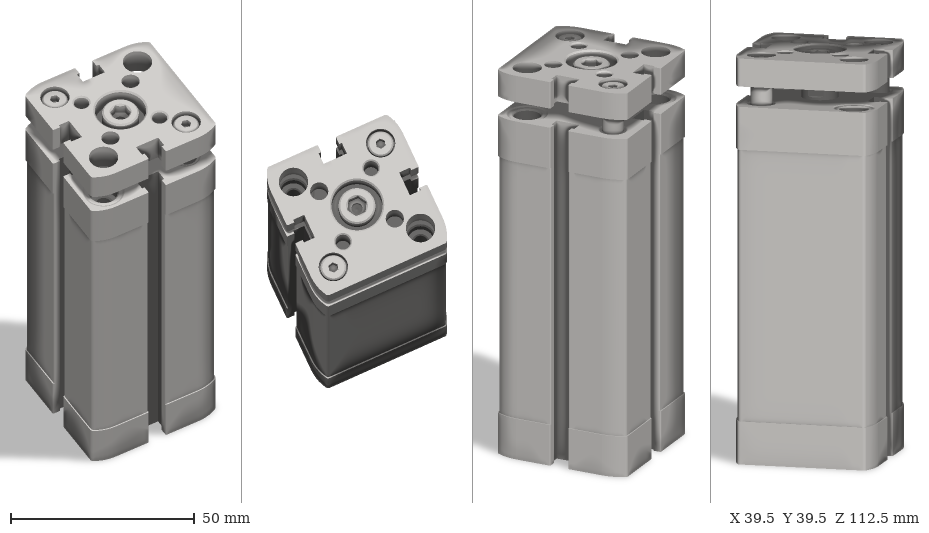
import cadquery as cq
import math

TOTAL_HEIGHT = 112.5
PLATE_THICKNESS = 7.8
GAP = 5.6
CAP_HEIGHT = 11.9
PLATE_BOTTOM = TOTAL_HEIGHT - PLATE_THICKNESS
HOUSING_TOP = PLATE_BOTTOM - GAP
ROD_BOTTOM = HOUSING_TOP - CAP_HEIGHT

WIDTH = 39.5
FLAT_HALF_LENGTH = 13.0
CORNER_DIAMETER = 25.0
EDGE_FILLET = 1.0
TUBE_INSET = 0.3

SLOT_OPENING = 5.4
SLOT_MOUTH_FILLET = 0.3
SLOT_INNER_WIDTH = 7.0
SLOT_LIP = 2.2
SLOT_DEPTH = 5.5
SLOT_ANGLES = (0, 90, 180)

CORNER_OFFSET = 13.0
ROD_CORNERS = [(-CORNER_OFFSET, -CORNER_OFFSET), (CORNER_OFFSET, CORNER_OFFSET)]
OPEN_CORNERS = [(-CORNER_OFFSET, CORNER_OFFSET), (CORNER_OFFSET, -CORNER_OFFSET)]
GUIDE_ROD_DIAMETER = 6.0
ACCESS_HOLE_DIAMETER = 8.0
SCREW_HEAD_DIAMETER = 7.0
SCREW_HEAD_CHAMFER = 0.5
SCREW_HEAD_DROP = 0.7
SCREW_POCKET_DEPTH = 3.0
SCREW_SOCKET_FLATS = 2.5
SCREW_SOCKET_DEPTH = 2.2
SCREW_SOCKET_ANGLE = -45

PLATE_HOLE_OFFSET = 7.8
TAPPED_CORNERS = [(-PLATE_HOLE_OFFSET, -PLATE_HOLE_OFFSET), (PLATE_HOLE_OFFSET, PLATE_HOLE_OFFSET)]
DOWEL_CORNERS = [(-PLATE_HOLE_OFFSET, PLATE_HOLE_OFFSET), (PLATE_HOLE_OFFSET, -PLATE_HOLE_OFFSET)]
DOWEL_HOLE_DIAMETER = 5.0
TAPPED_HOLE_DIAMETER = 4.2
TAPPED_HOLE_MOUTH_DIAMETER = 5.0

PISTON_ROD_DIAMETER = 10.0
PISTON_ROD_CHAMFER = 0.5
PLATE_BORE_DIAMETER = 14.0
PLATE_BORE_CHAMFER = 0.5
PLATE_BORE_DEPTH = 5.0
PISTON_ROD_DROP = 0.8
WRENCH_FLATS = 9.0
WRENCH_FLAT_START = 1.0
WRENCH_FLAT_RAMP = 0.3
ROD_SOCKET_FLATS = 5.0
ROD_SOCKET_MOUTH_DIAMETER = 6.0
ROD_SOCKET_DEPTH = 3.0
ROD_PILOT_DIAMETER = 3.0
ROD_PILOT_DEPTH = 1.0
DRILL_SLOPE_ANGLE = 30

ROD_SEAT_DIAMETER = 8.0
ROD_SEAT_INNER_DIAMETER = 7.0
SCREW_SEAT_DIAMETER = 11.5
SCREW_SEAT_INNER_DIAMETER = 10.5
SEAT_DEPTH = 0.28
SCREW_BORE_DIAMETER = 7.5
SCREW_BORE_DEPTH = 4.5
SCREW_BORE_MOUTH_DIAMETER = 9.0
SCREW_HOLE_DIAMETER = 4.2
SCREW_HOLE_MOUTH_DIAMETER = 5.0


def cylinder(x, y, z_bottom, height, diameter):
    """Upright cylinder standing on z_bottom."""
    return cq.Workplane("XY", origin=(x, y, z_bottom)).circle(diameter / 2).extrude(height)


def cone(x, y, z_bottom, height, bottom_diameter, top_diameter):
    """Upright cone frustum standing on z_bottom."""
    solid = cq.Solid.makeCone(bottom_diameter / 2, top_diameter / 2, height, cq.Vector(x, y, z_bottom))
    return cq.Workplane(solid)


def hexagon(x, y, z_top, depth, across_flats, angle=0):
    """Hexagonal socket cutter; one corner points along the given angle."""
    corner_diameter = across_flats / math.cos(math.radians(30))
    prism = cq.Workplane("XY").polygon(6, corner_diameter).extrude(depth)
    return prism.rotate((0, 0, 0), (0, 0, 1), angle).translate((x, y, z_top - depth))


def t_slot(angle, z_bottom, height, face):
    """T-slot cutter with a rounded mouth; the angle turns clockwise from +X, face is the side's distance."""
    half = WIDTH / 2
    opening = SLOT_OPENING / 2
    inner = SLOT_INNER_WIDTH / 2
    mouth = opening + SLOT_MOUTH_FILLET
    fillet_middle = SLOT_MOUTH_FILLET * (1 - math.sqrt(0.5))
    cutter = (
        cq.Workplane("XY", origin=(0, 0, z_bottom))
        .moveTo(half - SLOT_DEPTH, -inner)
        .lineTo(half - SLOT_LIP, -inner)
        .lineTo(half - SLOT_LIP, -opening)
        .lineTo(face - SLOT_MOUTH_FILLET, -opening)
        .threePointArc((face - fillet_middle, -opening - fillet_middle), (face, -mouth))
        .lineTo(face, mouth)
        .threePointArc((face - fillet_middle, opening + fillet_middle), (face - SLOT_MOUTH_FILLET, opening))
        .lineTo(half - SLOT_LIP, opening)
        .lineTo(half - SLOT_LIP, inner)
        .lineTo(half - SLOT_DEPTH, inner)
        .close()
        .extrude(height)
    )
    return cutter.rotate((0, 0, 0), (0, 0, 1), -angle)


def section(z_bottom, height, inset=0.0):
    """Slotted block with bulged corners; its outer faces are moved in by the inset."""
    half = WIDTH / 2 - inset
    radius = CORNER_DIAMETER / 2 - inset
    rise = half - FLAT_HALF_LENGTH
    corner_x = half - radius + math.sqrt(radius**2 - rise**2)
    mid_x = half - radius + math.sqrt(radius**2 - (rise / 2) ** 2)
    mid_y = FLAT_HALF_LENGTH + rise / 2
    block = (
        cq.Workplane("XY", origin=(0, 0, z_bottom))
        .moveTo(half, -FLAT_HALF_LENGTH)
        .lineTo(half, FLAT_HALF_LENGTH)
        .threePointArc((mid_x, mid_y), (corner_x, half))
        .lineTo(-corner_x, half)
        .threePointArc((-mid_x, mid_y), (-half, FLAT_HALF_LENGTH))
        .lineTo(-half, -FLAT_HALF_LENGTH)
        .threePointArc((-mid_x, -mid_y), (-corner_x, -half))
        .lineTo(corner_x, -half)
        .threePointArc((mid_x, -mid_y), (half, -FLAT_HALF_LENGTH))
        .close()
        .extrude(height)
    )
    block = block.edges("|Z").edges("<Y or >Y").fillet(EDGE_FILLET)
    for angle in SLOT_ANGLES:
        block = block.cut(t_slot(angle, z_bottom, height, half))
    return block


def chamfered_bore(x, y, z_top, depth, diameter, mouth_diameter):
    """Cutter for a bore going down from z_top, with a 45 degree chamfer at its mouth."""
    chamfer = (mouth_diameter - diameter) / 2
    bore = cylinder(x, y, z_top - depth, depth, diameter)
    return bore.union(cone(x, y, z_top - chamfer, chamfer, diameter, mouth_diameter))


def housing_blank():
    """Slotted tube between two slightly larger end caps."""
    tube_top = HOUSING_TOP - CAP_HEIGHT
    blank = section(0, CAP_HEIGHT)
    blank = blank.union(section(CAP_HEIGHT, tube_top - CAP_HEIGHT, TUBE_INSET))
    return blank.union(section(tube_top, CAP_HEIGHT))


def guide_rod_bore(x, y):
    """Cutter for a guide rod, with a shallow conical seat at the top of the housing."""
    bore = cylinder(x, y, ROD_BOTTOM, HOUSING_TOP - ROD_BOTTOM, GUIDE_ROD_DIAMETER)
    seat = cone(x, y, HOUSING_TOP - SEAT_DEPTH, SEAT_DEPTH, ROD_SEAT_INNER_DIAMETER, ROD_SEAT_DIAMETER)
    return bore.union(seat)


def tie_screw_bore(x, y):
    """Cutter for a through hole with a counterbore and a shallow conical seat."""
    floor = HOUSING_TOP - SCREW_BORE_DEPTH
    hole = chamfered_bore(x, y, floor, floor, SCREW_HOLE_DIAMETER, SCREW_HOLE_MOUTH_DIAMETER)
    counterbore = chamfered_bore(
        x, y, HOUSING_TOP, SCREW_BORE_DEPTH, SCREW_BORE_DIAMETER, SCREW_BORE_MOUTH_DIAMETER
    )
    seat = cone(
        x, y, HOUSING_TOP - SEAT_DEPTH, SEAT_DEPTH, SCREW_SEAT_INNER_DIAMETER, SCREW_SEAT_DIAMETER
    )
    return hole.union(counterbore).union(seat)


def make_housing():
    """Tube and end caps, bored for the rods and the tie screws."""
    body = housing_blank()
    body = body.cut(cylinder(0, 0, ROD_BOTTOM, HOUSING_TOP - ROD_BOTTOM, PISTON_ROD_DIAMETER))
    for x, y in ROD_CORNERS:
        body = body.cut(guide_rod_bore(x, y))
    for x, y in OPEN_CORNERS:
        body = body.cut(tie_screw_bore(x, y))
    return body


def drill_point(z_top):
    """Cutter on the Z axis: a cone down to the pilot hole, which ends in a conical tip."""
    slope = math.tan(math.radians(DRILL_SLOPE_ANGLE))
    outer = ROD_SOCKET_FLATS / 2
    pilot = ROD_PILOT_DIAMETER / 2
    pilot_top = z_top - (outer - pilot) * slope
    pilot_bottom = pilot_top - ROD_PILOT_DEPTH
    return (
        cq.Workplane("XZ")
        .moveTo(0, z_top)
        .lineTo(outer, z_top)
        .lineTo(pilot, pilot_top)
        .lineTo(pilot, pilot_bottom)
        .lineTo(0, pilot_bottom - pilot * slope)
        .close()
        .revolve(360, (0, 0, 0), (0, 1, 0))
    )


def wrench_flat(angle):
    """Cutter for the flat on the +Y side of the piston rod, turned about Z by the angle."""
    flat_bottom = HOUSING_TOP + WRENCH_FLAT_START
    flat = WRENCH_FLATS / 2
    rim = PISTON_ROD_DIAMETER / 2
    cutter = (
        cq.Workplane("YZ")
        .moveTo(flat, PLATE_BOTTOM)
        .lineTo(flat, flat_bottom)
        .lineTo(rim, flat_bottom - WRENCH_FLAT_RAMP)
        .lineTo(rim, PLATE_BOTTOM)
        .close()
        .extrude(rim, both=True)
    )
    return cutter.rotate((0, 0, 0), (0, 0, 1), angle)


def make_piston_rod():
    """Chamfered rod with two wrench flats and a hexagonal socket over a pilot hole."""
    top = TOTAL_HEIGHT - PISTON_ROD_DROP
    rod = cylinder(0, 0, ROD_BOTTOM, top - ROD_BOTTOM, PISTON_ROD_DIAMETER)
    rod = rod.faces(">Z").chamfer(PISTON_ROD_CHAMFER)
    for angle in (0, 180):
        rod = rod.cut(wrench_flat(angle))
    rod = rod.cut(hexagon(0, 0, top, ROD_SOCKET_DEPTH, ROD_SOCKET_FLATS))
    mouth_depth = (ROD_SOCKET_MOUTH_DIAMETER - ROD_SOCKET_FLATS) / 2
    rod = rod.cut(cone(0, 0, top - mouth_depth, mouth_depth, ROD_SOCKET_FLATS, ROD_SOCKET_MOUTH_DIAMETER))
    return rod.cut(drill_point(top - ROD_SOCKET_DEPTH))


def make_plate():
    """Slotted plate with its central bore, corner holes, dowel holes and tapped holes."""
    plate = section(PLATE_BOTTOM, PLATE_THICKNESS)
    bore_mouth = PLATE_BORE_DIAMETER + 2 * PLATE_BORE_CHAMFER
    plate = plate.cut(
        chamfered_bore(0, 0, TOTAL_HEIGHT, PLATE_BORE_DEPTH, PLATE_BORE_DIAMETER, bore_mouth)
    )
    plate = plate.cut(cylinder(0, 0, PLATE_BOTTOM, PLATE_THICKNESS, PISTON_ROD_DIAMETER))
    for x, y in OPEN_CORNERS:
        plate = plate.cut(cylinder(x, y, PLATE_BOTTOM, PLATE_THICKNESS, ACCESS_HOLE_DIAMETER))
    for x, y in DOWEL_CORNERS:
        plate = plate.cut(cylinder(x, y, PLATE_BOTTOM, PLATE_THICKNESS, DOWEL_HOLE_DIAMETER))
    for x, y in TAPPED_CORNERS:
        plate = plate.cut(
            chamfered_bore(
                x, y, TOTAL_HEIGHT, PLATE_THICKNESS, TAPPED_HOLE_DIAMETER, TAPPED_HOLE_MOUTH_DIAMETER
            )
        )
    for x, y in ROD_CORNERS:
        pocket_floor = TOTAL_HEIGHT - SCREW_POCKET_DEPTH
        plate = plate.cut(cylinder(x, y, pocket_floor, SCREW_POCKET_DEPTH, ACCESS_HOLE_DIAMETER))
    return plate


def screw_head(x, y):
    """Chamfered screw head with a hexagonal socket, standing on the floor of its pocket."""
    floor = TOTAL_HEIGHT - SCREW_POCKET_DEPTH
    top = TOTAL_HEIGHT - SCREW_HEAD_DROP
    head = cylinder(x, y, floor, top - floor, SCREW_HEAD_DIAMETER).faces(">Z").chamfer(SCREW_HEAD_CHAMFER)
    return head.cut(hexagon(x, y, top, SCREW_SOCKET_DEPTH, SCREW_SOCKET_FLATS, SCREW_SOCKET_ANGLE))


def make_moving_unit():
    """Front plate with its piston rod, two guide rods and their screw heads."""
    unit = make_plate().union(make_piston_rod())
    for x, y in ROD_CORNERS:
        unit = unit.union(screw_head(x, y))
        unit = unit.union(cylinder(x, y, ROD_BOTTOM, PLATE_BOTTOM - ROD_BOTTOM, GUIDE_ROD_DIAMETER))
    return unit


housing = make_housing()
moving_unit = make_moving_unit()
result = cq.Compound.makeCompound([housing.solids().val(), moving_unit.solids().val()])